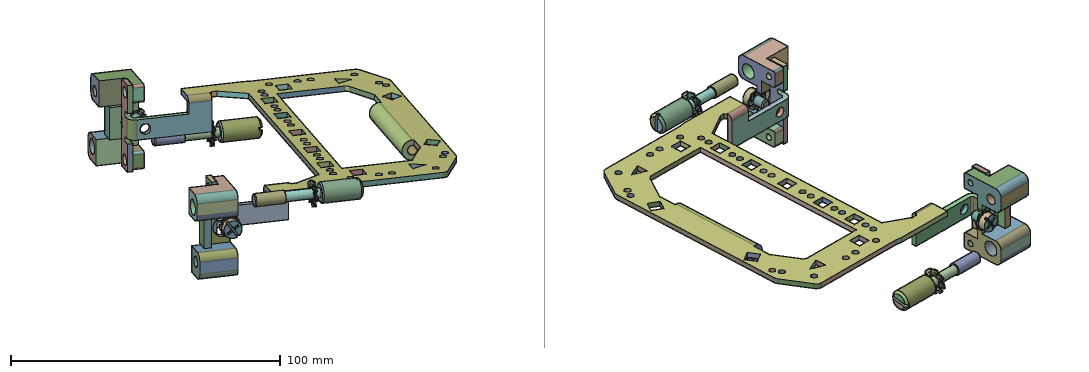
import cadquery as cq
import math

width = 135.0
depth = 109.5
back_y = depth / 2
front_y = -depth / 2

sheet = 2.2
drop_bend_radius = 2.3
foot_bend_radius = 3.0
plate_top = 10.7
plate_bottom = plate_top - sheet
plate_side = 55.5
shoulder_side = 55.9
shoulder_top = 5.0
shoulder_bottom = 2.5
plate_end_y = -22.1
top_edge_half = 41.2
cut_angle = math.radians(30)
rear_corner_radius = 3.8
side_corner_radius = 2.7
crossbar_front_y = 0.3
crossbar_half = 43.6
relief_side = 49.4
relief_start_y = -10.3
relief_radius = 0.8

window_half = 40.1
window_front_y = 10.3
window_back_y = 44.5
window_back_half = 28.2
window_corner_radius = 2.0

leg_inner = 46.3
leg_outer = leg_inner + sheet
leg_back_y = -13.1
arm_half_height = 4.0
foot_front_y = -45.4
foot_back_y = foot_front_y + sheet
foot_outer = 55.5
foot_half_height = 17.3
foot_hole_x = 51.8
foot_hole_z = 13.5
foot_hole_diameter = 4.3
slot_height = 2.0
slot_tip_x = 51.7

curl_half_length = 20.2
curl_radius = 4.0
curl_y = 44.0
curl_z = plate_top - curl_radius

round_hole_diameter = 2.5
square_hole = 5.0
hole_row_y = 5.5
row_hole_xs = (8.0, 12.2, 24.3, 28.2, 40.4, 44.3)
row_square_xs = (18.4, 34.5)
side_hole_x = 50.4
side_hole_ys = (10.4, 21.5, 26.6, 43.6)
side_opening_x = 45.9
side_square_y = 14.7
triangle_base_y = 35.4
triangle_height = 5.8
corner_hole_points = ((39.7, 49.8), (36.5, 51.6))
tilted_square_point = (24.8, 50.2)

block_outer = width / 2
block_back_y = -38.7
lug_inner = 57.2
lug_gap = 12.8
lug_inner_z = lug_gap / 2
lug_outer_z = 16.9
lug_corner_radius = 2.8
lug_length_difference = 1.1
short_lug_front_y = front_y + lug_length_difference
lug_hole_x = 62.4
lug_hole_z = 11.0
long_lug_hole_diameter = 6.1
short_lug_hole_diameter = 4.2
ear_inner = 48.6
ear_half_gap = 9.7
ear_edge_radius = 1.0
ear_hole_diameter = 2.5
web_outer = 57.9
web_front_y = -47.2
ridge_outer = 61.5
ridge_front_y = -50.1
clamp_slot_half = 3.9
clamp_slot_end_y = -45.5

head_back_y = 10.7
head_front_y = -5.4
head_radius = 4.0
head_back_chamfer = 1.0
head_front_chamfer = 0.5
neck_diameter = 3.9
thread_start_y = -19.2
thread_end_y = -31.0
thread_diameter = 5.0
thread_chamfer = 0.4
drive_slot_width = 1.2
drive_slot_depth = 1.6

tooth_count = 8
tooth_fill = 0.9
tooth_twist = 15
washer_hole_diameter = 5.3
washer_diameter = 10.1
washer_thickness = 0.61

clamp_y = -39.0
clamp_head_radius = 3.5
clamp_head_outer = 62.1
clamp_washer_radius = 4.0
clamp_washer_thickness = 0.5
clamp_washer_height = 1.2
clamp_shank_radius = 2.0
clamp_shank_end = 53.5
clamp_shank_chamfer = 0.5
cross_width = 0.8
cross_depth = 1.1
cross_angle = 55
short_cross_length = 5.0


def box(x0, x1, y0, y1, z0, z1):
    """Box between two corner positions on each axis."""
    return cq.Workplane("XY").box(x1 - x0, y1 - y0, z1 - z0, centered=False).translate((x0, y0, z0))


def y_cylinder(x, z, radius, y0, y1):
    """Cylinder along Y."""
    return cq.Workplane("XZ", origin=(x, y0, z)).circle(radius).extrude(y0 - y1)


def x_cylinder(y, z, radius, x0, x1):
    """Cylinder along X."""
    return cq.Workplane("YZ", origin=(x0, y, z)).circle(radius).extrude(x1 - x0)


def mirrored(solid):
    """A solid together with its mirror image across the middle plane."""
    return solid.union(solid.mirror("YZ"))


def both_sides(points):
    """Points on the +X side and their mirror images."""
    return [(side * x, y) for x, y in points for side in (1, -1)]


def round_corners(solid, corners, radius):
    """Round the vertical edges at the given corners and at their mirror images."""
    for x, y in both_sides(corners):
        solid = solid.edges(cq.NearestToPointSelector((x, y, plate_top - sheet / 2))).fillet(radius)
    return solid


def plate_blank():
    rear_corner = (top_edge_half, back_y)
    cut_drop = (plate_side - top_edge_half) * math.tan(cut_angle)
    side_corner = (plate_side, back_y - cut_drop)
    bend_x = leg_inner + drop_bend_radius
    half = (
        cq.Workplane("XY", origin=(0, 0, plate_bottom))
        .moveTo(0, back_y)
        .lineTo(*rear_corner)
        .lineTo(*side_corner)
        .lineTo(plate_side, shoulder_top)
        .lineTo(shoulder_side, shoulder_bottom)
        .lineTo(shoulder_side, plate_end_y)
        .lineTo(bend_x, plate_end_y)
        .lineTo(bend_x, leg_back_y)
        .radiusArc((relief_side, leg_back_y + relief_radius), relief_radius)
        .lineTo(relief_side, relief_start_y)
        .lineTo(crossbar_half, crossbar_front_y)
        .lineTo(0, crossbar_front_y)
        .close()
        .extrude(sheet)
    )
    plate = mirrored(half)
    plate = round_corners(plate, [rear_corner], rear_corner_radius)
    return round_corners(plate, [side_corner], side_corner_radius)


def window():
    side_back_y = window_back_y - (window_half - window_back_half) * math.tan(cut_angle)
    cut_corner = (window_half, side_back_y)
    half_points = [(window_half, window_front_y), cut_corner, (window_back_half, window_back_y)]
    outline = half_points + [(-x, y) for x, y in reversed(half_points)]
    opening = cq.Workplane("XY", origin=(0, 0, plate_bottom)).polyline(outline).close().extrude(sheet)
    return round_corners(opening, [cut_corner], window_corner_radius)


def plate_openings():
    """Round, square, tilted and triangular holes through the plate."""
    base = cq.Workplane("XY", origin=(0, 0, plate_bottom))
    round_points = [(x, hole_row_y) for x in row_hole_xs]
    round_points += [(side_hole_x, y) for y in side_hole_ys]
    round_points += corner_hole_points
    openings = base.pushPoints(both_sides(round_points)).circle(round_hole_diameter / 2).extrude(sheet)

    square_points = [(x, hole_row_y) for x in row_square_xs] + [(side_opening_x, side_square_y)]
    square_points = both_sides(square_points) + [(0, hole_row_y)]
    openings = openings.union(base.pushPoints(square_points).rect(square_hole, square_hole).extrude(sheet))

    tilted = cq.Workplane("XY").rect(square_hole, square_hole).extrude(sheet)
    tilted = tilted.rotate((0, 0, 0), (0, 0, 1), -math.degrees(cut_angle))
    tilted = tilted.translate((*tilted_square_point, plate_bottom))
    triangle = (
        base.moveTo(side_opening_x - square_hole / 2, triangle_base_y)
        .lineTo(side_opening_x + square_hole / 2, triangle_base_y)
        .lineTo(side_opening_x, triangle_base_y + triangle_height)
        .close()
        .extrude(sheet)
    )
    return openings.union(mirrored(tilted)).union(mirrored(triangle))


def rolled_lip():
    """Lip rolled down from the rear window edge through three quarters of a turn."""
    lip = (
        cq.Workplane("YZ", origin=(-curl_half_length, curl_y, curl_z))
        .circle(curl_radius)
        .circle(curl_radius - sheet)
        .extrude(2 * curl_half_length)
    )
    open_quarter = box(
        -curl_half_length, curl_half_length, curl_y, curl_y + curl_radius, curl_z, curl_z + curl_radius
    )
    tab = box(-curl_half_length, curl_half_length, curl_y, window_back_y, plate_bottom, plate_top)
    return lip.cut(open_quarter).union(tab)


def bent_strip(plane, bend_radius, first_length, second_length, strip_width):
    """L-bent sheet; the plane's origin is the sharp outside corner, its axes run along both arms."""
    return (
        cq.Workplane(plane)
        .moveTo(bend_radius, 0)
        .lineTo(first_length, 0)
        .lineTo(first_length, sheet)
        .lineTo(bend_radius, sheet)
        .radiusArc((sheet, bend_radius), bend_radius - sheet)
        .lineTo(sheet, second_length)
        .lineTo(0, second_length)
        .lineTo(0, bend_radius)
        .radiusArc((bend_radius, 0), -bend_radius)
        .close()
        .extrude(strip_width)
    )


def right_leg():
    """Leg on the +X side: drop from the plate, arm to the front, and foot turned outwards."""
    drop_plane = cq.Plane(origin=(leg_inner, plate_end_y, plate_top), xDir=(1, 0, 0), normal=(0, 1, 0))
    drop_height = plate_top + arm_half_height
    drop = bent_strip(
        drop_plane, drop_bend_radius, drop_bend_radius + sheet, drop_height, leg_back_y - plate_end_y
    )
    arm_plane = cq.Plane(origin=(leg_inner, foot_front_y, -arm_half_height))
    arm = bent_strip(
        arm_plane, foot_bend_radius, foot_outer - leg_inner, plate_end_y - foot_front_y, 2 * arm_half_height
    )
    thread_hole = x_cylinder(clamp_y, 0, clamp_shank_radius, leg_inner, leg_outer)
    return drop.union(arm.cut(thread_hole)).union(right_foot())


def right_foot():
    foot = box(
        leg_outer, foot_outer, foot_front_y, foot_back_y, -foot_half_height, foot_half_height
    )
    bend_x = leg_inner + foot_bend_radius
    foot = foot.cut(
        box(leg_outer, bend_x, foot_front_y, foot_back_y, -arm_half_height, arm_half_height)
    )
    tip_radius = slot_height / 2
    tip_center_x = slot_tip_x - tip_radius
    for side in (1, -1):
        slot_z = side * (arm_half_height + tip_radius)
        slot = box(
            leg_outer, tip_center_x, foot_front_y, foot_back_y, slot_z - tip_radius, slot_z + tip_radius
        )
        slot = slot.union(y_cylinder(tip_center_x, slot_z, tip_radius, foot_front_y, foot_back_y))
        hole = y_cylinder(
            foot_hole_x, side * foot_hole_z, foot_hole_diameter / 2, foot_front_y, foot_back_y
        )
        foot = foot.cut(slot).cut(hole)
    return foot


def make_bracket():
    plate = plate_blank().cut(window()).cut(plate_openings())
    return plate.union(rolled_lip()).union(mirrored(right_leg()))


def lug(lug_front_y, hole_diameter, side):
    """Rounded lug with a hole along Y; side is +1 for the upper lug and -1 for the lower one."""
    body = box(-block_outer, -lug_inner, lug_front_y, block_back_y, lug_inner_z, lug_outer_z)
    body = body.edges("|Y and <X").fillet(lug_corner_radius)
    hole = y_cylinder(-lug_hole_x, lug_hole_z, hole_diameter / 2, lug_front_y, block_back_y)
    body = body.cut(hole)
    return body if side > 0 else body.mirror("XY")


def ear(side):
    """Screw-on ear behind the bracket foot; side is +1 for the upper and -1 for the lower one."""
    body = box(-lug_inner, -ear_inner, foot_back_y, block_back_y, ear_half_gap, lug_outer_z)
    body = body.edges("|Y and >X").fillet(ear_edge_radius)
    hole = y_cylinder(-foot_hole_x, foot_hole_z, ear_hole_diameter / 2, foot_back_y, block_back_y)
    body = body.cut(hole)
    return body if side > 0 else body.mirror("XY")


def clamp_slot():
    """Slot through the web, open to the back, for the clamp screw."""
    center_y = clamp_slot_end_y + clamp_slot_half
    straight = box(-web_outer, -foot_outer, center_y, block_back_y, -clamp_slot_half, clamp_slot_half)
    return straight.union(x_cylinder(center_y, 0, clamp_slot_half, -web_outer, -foot_outer))


def make_left_block():
    web = box(-web_outer, -foot_outer, web_front_y, block_back_y, -lug_inner_z, lug_inner_z)
    spine = box(-lug_inner, -foot_outer, foot_back_y, block_back_y, -ear_half_gap, ear_half_gap)
    ridge = box(-ridge_outer, -foot_outer, ridge_front_y, web_front_y, -lug_inner_z, lug_inner_z)
    block = web.union(spine).cut(clamp_slot()).union(ridge)
    block = block.union(lug(short_lug_front_y, short_lug_hole_diameter, 1))
    block = block.union(lug(front_y, long_lug_hole_diameter, -1))
    return block.union(ear(1)).union(ear(-1))


def make_thumb_screw(slot_angle):
    """Thumb screw along Y; the slot angle is measured from X about the screw axis."""
    head = y_cylinder(0, 0, head_radius, head_front_y, head_back_y)
    head = head.faces(">Y").chamfer(head_back_chamfer)
    head = head.faces("<Y").chamfer(head_front_chamfer)
    slot = box(
        -head_radius, head_radius, head_back_y - drive_slot_depth, head_back_y,
        -drive_slot_width / 2, drive_slot_width / 2,
    )
    head = head.cut(slot.rotate((0, 0, 0), (0, 1, 0), slot_angle))
    neck = y_cylinder(0, 0, neck_diameter / 2, thread_start_y, head_front_y)
    thread = y_cylinder(0, 0, thread_diameter / 2, thread_end_y, thread_start_y)
    thread = thread.faces("<Y").chamfer(thread_chamfer)
    return head.union(neck).union(thread)


def tooth_ring(hole_radius, outer_radius, thickness):
    """External-tooth lock washer on the Z axis, centred on Z = 0, with twisted teeth."""
    rim_radius = (hole_radius + outer_radius) / 2
    ring = cq.Workplane("XY").circle(rim_radius).extrude(thickness / 2, both=True)
    tooth_width = tooth_fill * 2 * math.pi * rim_radius / tooth_count
    tooth = box(
        hole_radius, outer_radius, -tooth_width / 2, tooth_width / 2, -thickness / 2, thickness / 2
    ).rotate((0, 0, 0), (1, 0, 0), tooth_twist)
    for index in range(tooth_count):
        ring = ring.union(tooth.rotate((0, 0, 0), (0, 0, 1), index * 360 / tooth_count))
    envelope = cq.Workplane("XY").circle(outer_radius).circle(hole_radius).extrude(outer_radius, both=True)
    return ring.intersect(envelope)


def make_washer():
    ring = tooth_ring(washer_hole_diameter / 2, washer_diameter / 2, washer_thickness)
    return ring.rotate((0, 0, 0), (1, 0, 0), 90)


def make_left_clamp_screw():
    """Cross-slotted screw with a captive tooth washer, seated on the web of the -X block."""
    head_inner = -web_outer - clamp_washer_height
    head = x_cylinder(clamp_y, 0, clamp_head_radius, -clamp_head_outer, head_inner)
    slot_bottom = -clamp_head_outer + cross_depth
    half_width = cross_width / 2
    for half_length, angle in ((clamp_head_radius, cross_angle), (short_cross_length / 2, cross_angle + 90)):
        slot = box(-clamp_head_outer, slot_bottom, -half_length, half_length, -half_width, half_width)
        head = head.cut(slot.rotate((0, 0, 0), (1, 0, 0), angle).translate((0, clamp_y, 0)))
    washer = tooth_ring(clamp_shank_radius, clamp_washer_radius, clamp_washer_thickness)
    washer = washer.rotate((0, 0, 0), (0, 1, 0), 90)
    washer = washer.translate((-web_outer - clamp_washer_height / 2, clamp_y, 0))
    shank = x_cylinder(clamp_y, 0, clamp_shank_radius, head_inner, -clamp_shank_end)
    shank = shank.faces(">X").chamfer(clamp_shank_chamfer)
    return head.union(shank).union(washer)


def half_turn(solid):
    """Copy turned half a turn about the Y axis."""
    return solid.rotate((0, 0, 0), (0, 1, 0), 180)


bracket = make_bracket()

left_block = make_left_block()
left_clamp_screw = make_left_clamp_screw()
blocks = [left_block, half_turn(left_block)]
clamp_screws = [left_clamp_screw, half_turn(left_clamp_screw)]

thumb_screws = []
washers = []
for side, slot_angle, washer_y in ((-1, -10, -8.5), (1, 90, -8.1)):
    x = side * lug_hole_x
    z = side * lug_hole_z
    thumb_screws.append(make_thumb_screw(slot_angle).translate((x, 0, z)))
    washers.append(make_washer().translate((x, washer_y, z)))

bodies = [bracket] + blocks + thumb_screws + washers + clamp_screws
result = cq.Compound.makeCompound([body.solids().val() for body in bodies])